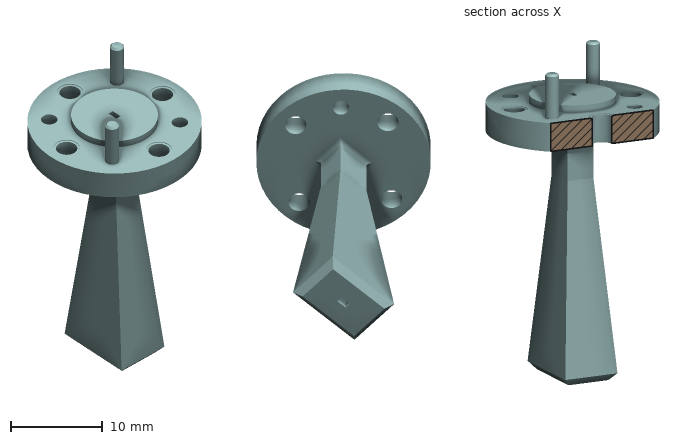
import cadquery as cq

total_height = 35.9
pin_length = 5.0
flange_thickness = 3.23
neck_length = 5.15
tip_height = 0.85
boss_height = 0.83

flange_top = total_height - pin_length
flange_bottom = flange_top - flange_thickness
neck_bottom = flange_bottom - neck_length

flange_diameter = 19.05
boss_diameter = 9.5
hole_circle_radius = 7.15
screw_hole_diameter = 2.35
counterbore_diameter = 2.87
counterbore_depth = 0.07
dowel_hole_diameter = 1.8
pin_diameter = 1.55
pin_chamfer = 0.2

neck_size = (3.85, 3.15)
mouth_size = (9.15, 6.4)
tip_inset = 0.75
tip_size = (mouth_size[0] - 2 * tip_inset, mouth_size[1] - 2 * tip_inset)
waveguide_size = (1.25, 0.65)
neck_fillet = 0.55
joint_margin = 0.05


def at_angles(z, first_angle, count):
    """Workplane with points evenly spaced around the hole circle at height z."""
    plane = cq.Workplane("XY").workplane(offset=z)
    return plane.polarArray(hole_circle_radius, first_angle, 360, count)


def frustum(bottom_z, bottom_size, top_z, top_size):
    """Straight-sided solid between two centred rectangles."""
    return (
        cq.Workplane("XY")
        .workplane(offset=bottom_z)
        .rect(*bottom_size)
        .workplane(offset=top_z - bottom_z)
        .rect(*top_size)
        .loft(ruled=True)
    )


body = cq.Workplane("XY").workplane(offset=flange_bottom).circle(flange_diameter / 2).extrude(flange_thickness)
neck = cq.Workplane("XY").workplane(offset=neck_bottom).rect(*neck_size).extrude(neck_length)
neck_joint = cq.selectors.BoxSelector(
    (-neck_size[0], -neck_size[1], flange_bottom - joint_margin),
    (neck_size[0], neck_size[1], flange_bottom + joint_margin),
)
body = body.union(neck).edges(neck_joint & cq.selectors.TypeSelector("LINE")).fillet(neck_fillet)

boss = cq.Workplane("XY").workplane(offset=flange_top).circle(boss_diameter / 2).extrude(boss_height)
body = body.union(boss)

body = body.union(frustum(tip_height, mouth_size, neck_bottom, neck_size))
body = body.union(frustum(0, tip_size, tip_height, mouth_size))

body = body.cut(at_angles(flange_bottom, 0, 4).circle(screw_hole_diameter / 2).extrude(flange_thickness))
body = body.cut(at_angles(flange_top, 0, 4).circle(counterbore_diameter / 2).extrude(-counterbore_depth))

body = body.cut(at_angles(flange_bottom, 45, 2).circle(dowel_hole_diameter / 2).extrude(flange_thickness))

pins = (
    at_angles(flange_bottom, 135, 2)
    .circle(pin_diameter / 2)
    .extrude(flange_thickness + pin_length)
    .faces(">Z")
    .chamfer(pin_chamfer)
)
body = body.union(pins)

waveguide = cq.Workplane("XY").rect(*waveguide_size).extrude(total_height)
result = body.cut(waveguide)